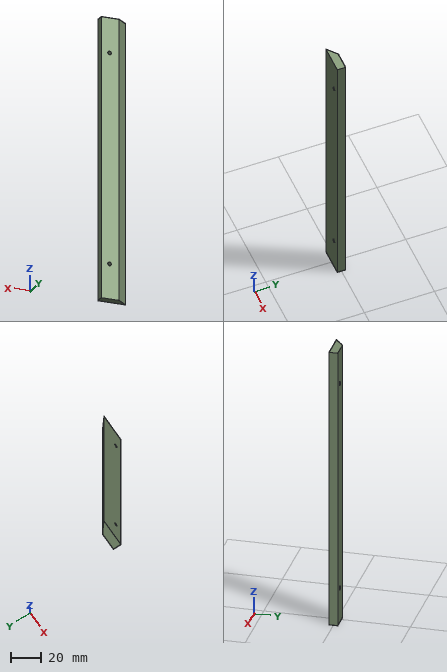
import cadquery as cq
import math

length = 200.0
width = 20.0
thickness = 6.0
bevel_angle = 40.0
bevel_width = thickness / math.tan(math.radians(bevel_angle))
hole_diameter = 2.5
hole_edge_distance = 6.0
hole_end_distance = 25.0

bar = (
    cq.Workplane("XY")
    .moveTo(0, 0)
    .lineTo(width, 0)
    .lineTo(width, thickness)
    .lineTo(bevel_width, thickness)
    .close()
    .extrude(length)
)


def mounting_hole(height):
    """Cylinder along Y that passes through the full thickness."""
    return (
        cq.Workplane("XZ")
        .center(width - hole_edge_distance, height)
        .circle(hole_diameter / 2)
        .extrude(-thickness)
    )


result = bar
for height in (hole_end_distance, length - hole_end_distance):
    result = result.cut(mounting_hole(height))